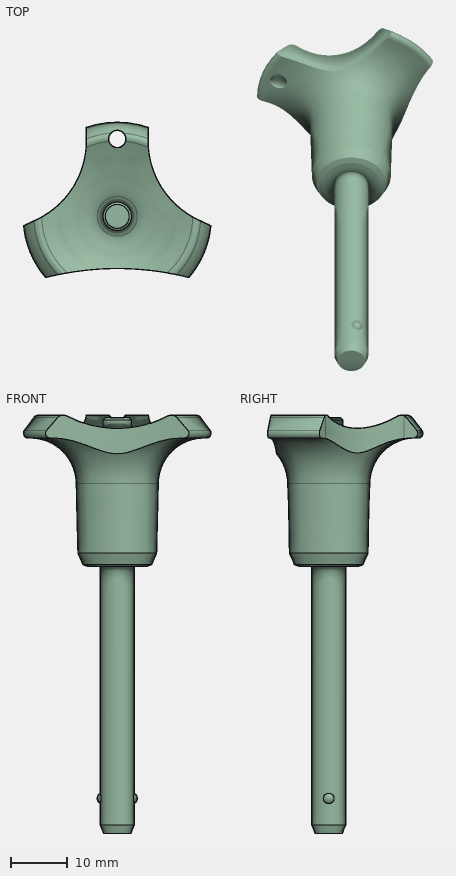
import cadquery as cq
import math


shank_radius = 3.0
shank_length = 47.0
tip_chamfer_height = 1.55
tip_radius = 2.4

ball_radius = 1.0
ball_reach = 3.55
ball_height_above_tip = 6.2

handle_height = 26.7
sleeve_bottom_radius = 6.95
sleeve_top_radius = 7.25
sleeve_taper_height = 2.4
sleeve_taper_end_radius = 6.05
sleeve_taper_end_height = 0.36
sleeve_foot_radius = 5.06
flare_radius = 8.0
flare_start_depth = 12.05
flare_end_depth = flare_start_depth - flare_radius

rim_outer_radius = 16.6
rim_round = 0.85
crest_round = 1.04
dish_radius = 24.0
dish_depth = 4.19
dish_floor_radius = 3.5

rear_arm_half_width = 5.46
side_arm_edge_x = 16.52
side_arm_edge_y = -1.65
side_arm_edge_angle = math.radians(25)
side_scallop_radius = 15.3
front_scallop_radius = 51.0
front_scallop_depth_y = -9.2
outline_reach = 20.0

lanyard_hole_radius = 1.5
lanyard_hole_y = 13.63
button_radius = 2.5
button_chamfer = 0.4
button_top_depth = 0.45


def point_on_circle(center, radius, angle):
    return (center[0] + radius * math.cos(angle), center[1] + radius * math.sin(angle))


def dish_height(radius):
    """Height of the spherical dish at a given distance from the axis."""
    sphere_center = handle_height - dish_depth + dish_radius
    return sphere_center - math.sqrt(dish_radius**2 - radius**2)


def make_handle_blank():
    """Turned handle: sleeve, flare, rounded rim, rounded crest and dished top."""
    rim_bottom = handle_height - flare_end_depth
    rim_center = (rim_outer_radius - rim_round, rim_bottom + rim_round)

    dish_center_z = handle_height - dish_depth + dish_radius
    crest_z = handle_height - crest_round
    crest_x = math.sqrt((dish_radius + crest_round) ** 2 - (dish_center_z - crest_z) ** 2)
    crest_center = (crest_x, crest_z)
    dish_side_angle = math.atan2(dish_center_z - crest_z, -crest_x)

    run = rim_center[0] - crest_x
    drop = crest_z - rim_center[1]
    tilt = math.asin((crest_round - rim_round) / math.hypot(run, drop))
    cone_normal_angle = math.pi / 2 - math.atan2(drop, run) - tilt

    rim_middle_angle = (cone_normal_angle - math.pi / 2) / 2

    flare_start_z = handle_height - flare_start_depth
    flare_center = (sleeve_top_radius + flare_radius, flare_start_z)
    dish_middle_radius = (dish_floor_radius + crest_x) / 2

    profile = (
        cq.Workplane("XZ")
        .moveTo(0, 0)
        .lineTo(sleeve_foot_radius, 0)
        .lineTo(sleeve_taper_end_radius, sleeve_taper_end_height)
        .lineTo(sleeve_bottom_radius, sleeve_taper_height)
        .lineTo(sleeve_top_radius, flare_start_z)
        .threePointArc(
            point_on_circle(flare_center, flare_radius, 3 * math.pi / 4),
            (flare_center[0], rim_bottom),
        )
        .lineTo(rim_center[0], rim_bottom)
        .threePointArc(
            point_on_circle(rim_center, rim_round, rim_middle_angle),
            point_on_circle(rim_center, rim_round, cone_normal_angle),
        )
        .lineTo(*point_on_circle(crest_center, crest_round, cone_normal_angle))
        .threePointArc(
            (crest_x, handle_height),
            point_on_circle(crest_center, crest_round, dish_side_angle),
        )
        .threePointArc(
            (dish_middle_radius, dish_height(dish_middle_radius)),
            (dish_floor_radius, dish_height(dish_floor_radius)),
        )
        .lineTo(0, dish_height(dish_floor_radius))
        .close()
    )
    return profile.revolve(360, (0, 0), (0, 1))


def make_handle_outline():
    """Prism with the three-armed plan shape of the handle, symmetric about the YZ plane."""
    edge_slope = math.tan(side_arm_edge_angle)
    corner_y = side_arm_edge_y + (side_arm_edge_x - rear_arm_half_width) * edge_slope
    turn = math.pi / 2 - side_arm_edge_angle
    tangent_length = side_scallop_radius * math.tan(turn / 2)

    scallop_center = (rear_arm_half_width + side_scallop_radius, corner_y + tangent_length)
    scallop_middle = point_on_circle(scallop_center, side_scallop_radius, math.pi + turn / 2)
    scallop_end = point_on_circle(scallop_center, side_scallop_radius, math.pi + turn)
    edge_end_y = corner_y - (outline_reach - rear_arm_half_width) * edge_slope

    front_rise = front_scallop_radius - math.sqrt(front_scallop_radius**2 - outline_reach**2)
    front_end_y = front_scallop_depth_y - front_rise

    outline = (
        cq.Workplane("XY")
        .moveTo(-rear_arm_half_width, outline_reach)
        .lineTo(rear_arm_half_width, outline_reach)
        .lineTo(rear_arm_half_width, scallop_center[1])
        .threePointArc(scallop_middle, scallop_end)
        .lineTo(outline_reach, edge_end_y)
        .lineTo(outline_reach, front_end_y)
        .threePointArc((0, front_scallop_depth_y), (-outline_reach, front_end_y))
        .lineTo(-outline_reach, edge_end_y)
        .lineTo(-scallop_end[0], scallop_end[1])
        .threePointArc(
            (-scallop_middle[0], scallop_middle[1]),
            (-rear_arm_half_width, scallop_center[1]),
        )
        .close()
    )
    return outline.extrude(handle_height)


def make_lanyard_hole():
    return (
        cq.Workplane("XY")
        .center(0, lanyard_hole_y)
        .circle(lanyard_hole_radius)
        .extrude(handle_height)
    )


def make_button():
    """Release button standing on the dish floor."""
    floor_z = dish_height(dish_floor_radius)
    height = handle_height - button_top_depth - floor_z
    button = cq.Workplane("XY").workplane(offset=floor_z).circle(button_radius).extrude(height)
    return button.faces(">Z").chamfer(button_chamfer)


def make_shank():
    """Plain shank with a tapered tip."""
    return (
        cq.Workplane("XZ")
        .moveTo(0, 0)
        .lineTo(shank_radius, 0)
        .lineTo(shank_radius, tip_chamfer_height - shank_length)
        .lineTo(tip_radius, -shank_length)
        .lineTo(0, -shank_length)
        .close()
        .revolve(360, (0, 0), (0, 1))
    )


def make_ball(side):
    ball_x = side * (ball_reach - ball_radius)
    ball_z = ball_height_above_tip - shank_length
    return cq.Workplane("XY").sphere(ball_radius).translate((ball_x, 0, ball_z))


handle = make_handle_blank().intersect(make_handle_outline()).cut(make_lanyard_hole())
result = handle.union(make_button()).union(make_shank())
for side in (-1, 1):
    result = result.union(make_ball(side))